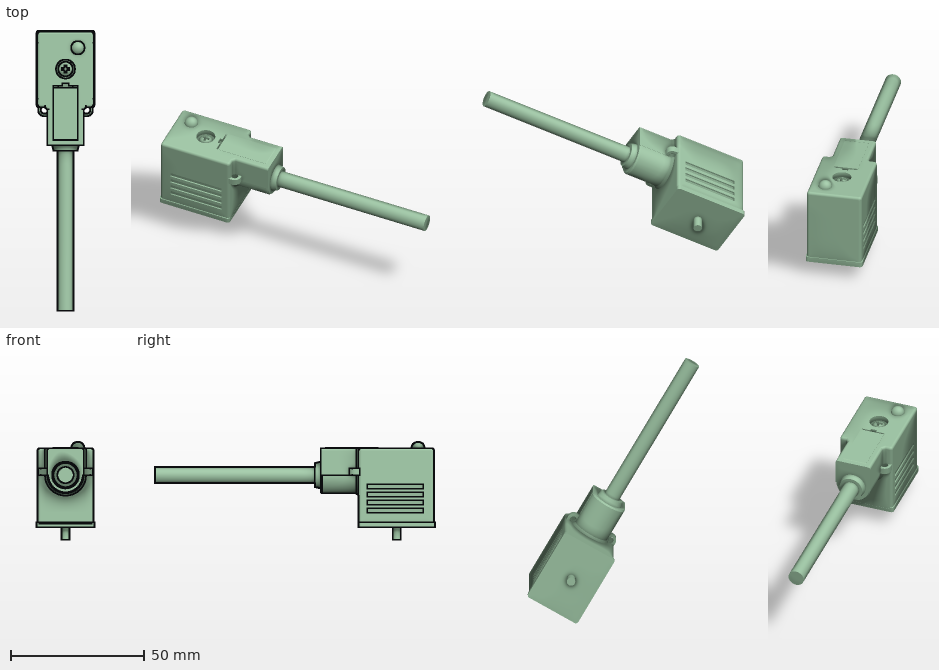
import cadquery as cq
import math


OVERALL_LENGTH = 105.3

SEAL_WIDTH = 21.8
SEAL_LENGTH = 28.9
SEAL_HEIGHT = 2.0
SEAL_CORNER = 1.1
SEAL_OVERHANG = 0.37
FRONT_OVERHANG = 0.05
REBATE_HEIGHT = 0.6

BLOCK_WIDTH = SEAL_WIDTH - 2 * SEAL_OVERHANG
BLOCK_BACK = SEAL_LENGTH / 2 - SEAL_OVERHANG
BLOCK_FRONT = FRONT_OVERHANG - SEAL_LENGTH / 2
BLOCK_TOP = 29.8
BLOCK_CORNER = 1.2
TOP_FILLET = 1.0

BOSS_HALF_WIDTH = 7.0
BOSS_RADIUS = 6.8
BOSS_FRONT = -28.6
BOSS_AXIS_Z = 19.7
BOSS_FLARE = 0.9
BOSS_END_CHAMFER_LENGTH = 0.6
BOSS_END_CHAMFER_DEPTH = 0.37

COLLAR_ROOT_RADIUS = 5.1
COLLAR_END_RADIUS = 4.5
COLLAR_LENGTH = 2.1
CABLE_RADIUS = 3.1
CABLE_END = SEAL_LENGTH / 2 - OVERALL_LENGTH

LUG_X = 7.9
LUG_Y = -15.4
LUG_RADIUS = 2.4
LUG_HEIGHT = 2.5
LUG_HOLE_RADIUS = 1.4

DOME_X = 4.6
DOME_Y = 8.0
DOME_RADIUS = 2.5
DOME_HEIGHT = 2.4

LABEL_WIDTH = 9.3
LABEL_BACK = -7.1
LABEL_FRONT = -26.9
LABEL_HEIGHT = 0.1
LABEL_BEVEL_LENGTH = 0.3
GROOVE_LENGTH = 0.7
GROOVE_DEPTH = 1.3
GROOVE_FLOOR_WIDTH = 5.4
NOTCH_WIDTH = 2.4
NOTCH_LENGTH = 1.0

SLOT_COUNT = 4
SLOT_LENGTH = 21.1
SLOT_HEIGHT = 1.7
SLOT_PITCH = 3.1
SLOT_DEPTH = 0.5
SLOT_MIDDLE_Y = -0.6
LOWEST_SLOT_Z = 6.3

SHANK_RADIUS = 1.6
SHANK_BOTTOM = -4.6
HEAD_RADIUS = 2.7
HEAD_HEIGHT = 1.6
RECESS_RADIUS = 3.6
RECESS_DEPTH = 2.1
RECESS_FLOOR = BLOCK_TOP - RECESS_DEPTH
CROSS_WIDTH = 1.0
CROSS_TOP_LENGTH = 3.4
CROSS_FLOOR_LENGTH = 1.6
CROSS_DEPTH = 1.7


def box(x_range, y_range, z_range):
    """Axis-aligned box between the given pairs of limits."""
    sizes = [high - low for low, high in (x_range, y_range, z_range)]
    corner = (x_range[0], y_range[0], z_range[0])
    return cq.Workplane("XY").box(*sizes, centered=False).translate(corner)


def cylinder(radius, bottom, top, x=0, y=0):
    """Upright cylinder between two heights."""
    return cq.Workplane("XY", origin=(x, y, bottom)).circle(radius).extrude(top - bottom)


def front_section(y):
    """Workplane on the boss axis that faces -Y, with local Y pointing up."""
    return cq.Workplane("XZ", origin=(0, y, BOSS_AXIS_Z))


def upper_housing():
    """Block and upper half of the boss, with corners and top edge rounded."""
    half_width = BLOCK_WIDTH / 2
    block = box((-half_width, half_width), (BLOCK_FRONT, BLOCK_BACK), (SEAL_HEIGHT, BLOCK_TOP))
    block = block.edges("|Z").fillet(BLOCK_CORNER)
    flared_half_width = BOSS_HALF_WIDTH + BOSS_FLARE
    boss = (
        cq.Workplane("XY", origin=(0, 0, BOSS_AXIS_Z))
        .moveTo(0, BLOCK_FRONT + BOSS_FLARE)
        .lineTo(flared_half_width, BLOCK_FRONT + BOSS_FLARE)
        .lineTo(flared_half_width, BLOCK_FRONT)
        .lineTo(BOSS_HALF_WIDTH, BLOCK_FRONT - BOSS_FLARE)
        .lineTo(BOSS_HALF_WIDTH, BOSS_FRONT)
        .lineTo(0, BOSS_FRONT)
        .mirrorY()
        .extrude(BLOCK_TOP - BOSS_AXIS_Z)
    )
    rounded_edges = cq.selectors.SubtractSelector(
        cq.selectors.StringSyntaxSelector(">Z"), cq.selectors.StringSyntaxSelector("<Y")
    )
    return block.union(boss).edges(rounded_edges).fillet(TOP_FILLET)


def lower_boss():
    """Round lower half of the boss, flared at the block and chamfered at its front end."""
    profile = (
        cq.Workplane("XY", origin=(0, 0, BOSS_AXIS_Z))
        .moveTo(0, BLOCK_FRONT + BOSS_FLARE)
        .lineTo(BOSS_RADIUS + BOSS_FLARE, BLOCK_FRONT + BOSS_FLARE)
        .lineTo(BOSS_RADIUS + BOSS_FLARE, BLOCK_FRONT)
        .lineTo(BOSS_RADIUS, BLOCK_FRONT - BOSS_FLARE)
        .lineTo(BOSS_RADIUS, BOSS_FRONT + BOSS_END_CHAMFER_LENGTH)
        .lineTo(BOSS_RADIUS - BOSS_END_CHAMFER_DEPTH, BOSS_FRONT)
        .lineTo(0, BOSS_FRONT)
        .close()
    )
    return profile.revolve(180, (0, 0, 0), (0, 1, 0))


def cable():
    """Cable and its tapered collar, both on the boss axis."""
    collar = (
        front_section(BOSS_FRONT)
        .circle(COLLAR_ROOT_RADIUS)
        .workplane(offset=COLLAR_LENGTH)
        .circle(COLLAR_END_RADIUS)
        .loft()
    )
    cord = front_section(BOSS_FRONT).circle(CABLE_RADIUS).extrude(BOSS_FRONT - CABLE_END)
    return collar.union(cord)


def lug(side):
    """Rounded lug in the corner between block and boss; side is -1 or 1."""
    outer = side * (LUG_X + LUG_RADIUS)
    middle = side * LUG_X
    inner = side * (BOSS_RADIUS - BOSS_FLARE)
    inset = LUG_RADIUS * math.sqrt(0.5)
    return (
        cq.Workplane("XY", origin=(0, 0, BOSS_AXIS_Z))
        .moveTo(inner, BLOCK_FRONT + BLOCK_CORNER)
        .lineTo(outer, BLOCK_FRONT + BLOCK_CORNER)
        .lineTo(outer, LUG_Y)
        .threePointArc((middle + side * inset, LUG_Y - inset), (middle, LUG_Y - LUG_RADIUS))
        .lineTo(inner, LUG_Y - LUG_RADIUS)
        .close()
        .extrude(LUG_HEIGHT)
    )


def lug_hole(side):
    """Upright hole through a lug; side is -1 or 1."""
    return cylinder(LUG_HOLE_RADIUS, BOSS_AXIS_Z, BOSS_AXIS_Z + LUG_HEIGHT, side * LUG_X, LUG_Y)


def indicator_dome():
    """Dome that stands on the top of the block."""
    ball_z = BLOCK_TOP + DOME_HEIGHT - DOME_RADIUS
    return cq.Workplane("XY").sphere(DOME_RADIUS).translate((DOME_X, DOME_Y, ball_z))


def label_plate():
    """Raised label plate with a bevelled front end."""
    return (
        cq.Workplane("YZ", origin=(-LABEL_WIDTH / 2, 0, BLOCK_TOP))
        .moveTo(LABEL_FRONT, 0)
        .lineTo(LABEL_FRONT + LABEL_BEVEL_LENGTH, LABEL_HEIGHT)
        .lineTo(LABEL_BACK, LABEL_HEIGHT)
        .lineTo(LABEL_BACK, 0)
        .close()
        .extrude(LABEL_WIDTH)
    )


def label_groove():
    """Groove behind the label plate, sloping down to a flat floor, with a pry notch."""
    groove_back = LABEL_BACK + GROOVE_LENGTH
    groove = (
        cq.Workplane("XZ", origin=(0, groove_back, BLOCK_TOP))
        .moveTo(-LABEL_WIDTH / 2, 0)
        .lineTo(-GROOVE_FLOOR_WIDTH / 2, -GROOVE_DEPTH)
        .lineTo(GROOVE_FLOOR_WIDTH / 2, -GROOVE_DEPTH)
        .lineTo(LABEL_WIDTH / 2, 0)
        .close()
        .extrude(GROOVE_LENGTH)
    )
    notch = box(
        (-NOTCH_WIDTH / 2, NOTCH_WIDTH / 2),
        (LABEL_BACK, groove_back + NOTCH_LENGTH),
        (BLOCK_TOP - GROOVE_DEPTH, BLOCK_TOP),
    )
    return groove.union(notch)


def grip_slots():
    """Rows of shallow slots in both sides of the block."""
    slot = cq.Workplane("XY").box(2 * SLOT_DEPTH, SLOT_LENGTH, SLOT_HEIGHT)
    slots = cq.Workplane("XY")
    for side in (-1, 1):
        for row in range(SLOT_COUNT):
            place = (side * BLOCK_WIDTH / 2, SLOT_MIDDLE_Y, LOWEST_SLOT_Z + row * SLOT_PITCH)
            slots = slots.add(slot.translate(place))
    return slots.combine()


def make_housing():
    """Housing with boss, cable, lugs and dome, and openings for label, grip and screw."""
    body = upper_housing().union(lower_boss()).union(cable()).union(indicator_dome())
    for side in (-1, 1):
        body = body.union(lug(side)).cut(lug_hole(side))
    body = body.union(label_plate()).cut(label_groove())
    body = body.cut(grip_slots())
    body = body.cut(cylinder(RECESS_RADIUS, RECESS_FLOOR, BLOCK_TOP))
    return body.cut(cylinder(SHANK_RADIUS, SEAL_HEIGHT, RECESS_FLOOR))


def make_seal():
    """Seal plate under the housing, with a flush strip along the top of its front face."""
    plate = (
        cq.Workplane("XY")
        .rect(SEAL_WIDTH, SEAL_LENGTH)
        .extrude(SEAL_HEIGHT)
        .edges("|Z")
        .fillet(SEAL_CORNER)
    )
    half_flat = SEAL_WIDTH / 2 - SEAL_CORNER
    rebate = box(
        (-half_flat, half_flat),
        (-SEAL_LENGTH / 2, BLOCK_FRONT),
        (SEAL_HEIGHT - REBATE_HEIGHT, SEAL_HEIGHT),
    )
    return plate.cut(rebate).cut(cylinder(SHANK_RADIUS, 0, SEAL_HEIGHT))


def cross_arm():
    """One arm of the cross recess along X, narrowing downwards."""
    top_z = RECESS_FLOOR + HEAD_HEIGHT
    return (
        cq.Workplane("XZ", origin=(0, CROSS_WIDTH / 2, top_z))
        .moveTo(-CROSS_TOP_LENGTH / 2, 0)
        .lineTo(-CROSS_FLOOR_LENGTH / 2, -CROSS_DEPTH)
        .lineTo(CROSS_FLOOR_LENGTH / 2, -CROSS_DEPTH)
        .lineTo(CROSS_TOP_LENGTH / 2, 0)
        .close()
        .extrude(CROSS_WIDTH)
    )


def make_screw():
    """Screw with a domed head and a cross recess."""
    inset_radius = HEAD_RADIUS * math.sqrt(0.5)
    dome_radius = (HEAD_RADIUS**2 + HEAD_HEIGHT**2) / (2 * HEAD_HEIGHT)
    dome_z = HEAD_HEIGHT - dome_radius
    inset_height = dome_z + math.sqrt(dome_radius**2 - inset_radius**2)
    screw = (
        cq.Workplane("XZ")
        .moveTo(0, SHANK_BOTTOM)
        .lineTo(SHANK_RADIUS, SHANK_BOTTOM)
        .lineTo(SHANK_RADIUS, RECESS_FLOOR)
        .lineTo(HEAD_RADIUS, RECESS_FLOOR)
        .threePointArc((inset_radius, RECESS_FLOOR + inset_height), (0, RECESS_FLOOR + HEAD_HEIGHT))
        .close()
        .revolve(360, (0, 0, 0), (0, 1, 0))
    )
    arm = cross_arm()
    return screw.cut(arm).cut(arm.rotate((0, 0, 0), (0, 0, 1), 90))


housing = make_housing()
seal = make_seal()
screw = make_screw()

result = cq.Compound.makeCompound([housing.val(), seal.val(), screw.val()])